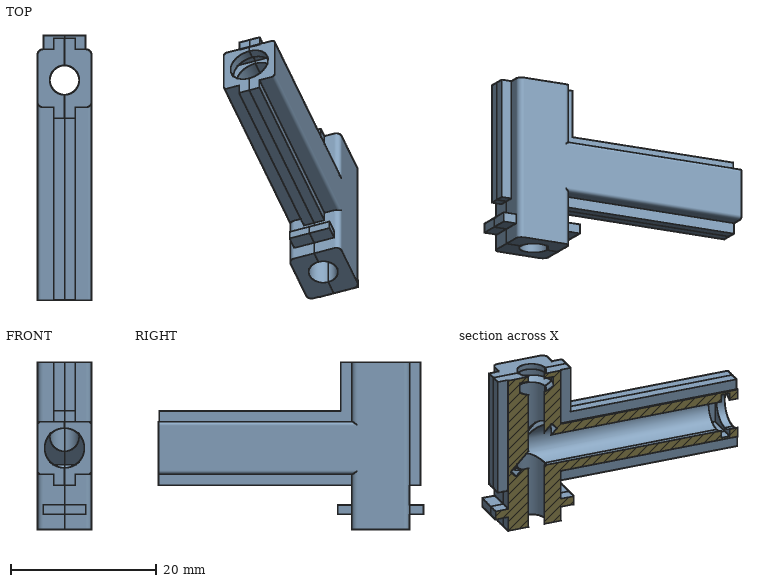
import cadquery as cq
import math


OVERALL_LENGTH = 36.57
WIDTH = 7.5

COLUMN_DEPTH = 8.0
COLUMN_HEIGHT = 23.1
COLUMN_CORNER = 0.8

ARM_HEIGHT = 7.28
ARM_AXIS_Z = 11.25
ARM_CORNER = 0.5

WEB_WIDTH = 3.0
WEB_REACH = 1.5
WEB_END_GAP = 0.1

TAB_LENGTH = 11.85
TAB_WIDTH = 5.85
TAB_HEIGHT = 1.3
TAB_BASE_Z = 2.12

COLUMN_BORE_DIAMETER = 4.02
COLUMN_BORE_Y = -0.25
ARM_BORE_DIAMETER = 5.5

LENS_DIAMETER = 6.0
LENS_RIM = 0.8
LENS_WALL = 1.4
LENS_SPHERE_RADIUS = 4.75

PLATE_SIDE = 6.5
FILTER_RIM = 1.25
FILTER_THICKNESS = 1.25

MIRROR_LENGTH = 8.7
MIRROR_THICKNESS = 1.1
MIRROR_ANGLE = 45.0

ARM_END_Y = TAB_LENGTH / 2 - OVERALL_LENGTH
OVERSIZE = 3 * OVERALL_LENGTH
ARM_TOP_Z = ARM_AXIS_Z + ARM_HEIGHT / 2
ARM_BOTTOM_Z = ARM_AXIS_Z - ARM_HEIGHT / 2


def box_between(x_size, y_range, z_range):
    """Box centred on X = 0 that spans the given Y and Z ranges."""
    y_low, y_high = y_range
    z_low, z_high = z_range
    return (
        cq.Workplane("XY")
        .box(x_size, y_high - y_low, z_high - z_low, centered=(True, False, False))
        .translate((0, y_low, z_low))
    )


def column():
    half = COLUMN_DEPTH / 2
    return box_between(WIDTH, (-half, half), (0, COLUMN_HEIGHT)).edges("|Z").fillet(COLUMN_CORNER)


def arm():
    return box_between(WIDTH, (ARM_END_Y, 0), (ARM_BOTTOM_Z, ARM_TOP_Z)).edges("|Y").fillet(ARM_CORNER)


def web():
    """Flat web that follows the T outline on both sides of the parting plane."""
    rear_y = COLUMN_DEPTH / 2 + WEB_REACH
    bottom_z = ARM_BOTTOM_Z - WEB_REACH
    lower = box_between(WEB_WIDTH, (ARM_END_Y, rear_y), (bottom_z, ARM_AXIS_Z))
    upper = box_between(
        WEB_WIDTH, (ARM_END_Y + WEB_END_GAP, rear_y), (ARM_AXIS_Z, ARM_TOP_Z + WEB_REACH)
    )
    upright = box_between(WEB_WIDTH, (-rear_y, rear_y), (ARM_AXIS_Z, COLUMN_HEIGHT))
    return lower.union(upper).union(upright)


def mounting_bar():
    half = TAB_LENGTH / 2
    return box_between(TAB_WIDTH, (-half, half), (TAB_BASE_Z, TAB_BASE_Z + TAB_HEIGHT))


def column_bore():
    return (
        cq.Workplane("XY").center(0, COLUMN_BORE_Y)
        .circle(COLUMN_BORE_DIAMETER / 2).extrude(COLUMN_HEIGHT)
    )


def tilted_box(width, length, thickness):
    """Box leaning at the mirror angle, its lower face centred on the crossing of the two bores."""
    return (
        cq.Workplane("XY")
        .box(width, length, thickness, centered=(True, True, False))
        .rotate((0, 0, 0), (1, 0, 0), -MIRROR_ANGLE)
        .translate((0, COLUMN_BORE_Y, ARM_AXIS_Z))
    )


def arm_bore():
    """Bore from the arm's end to the sloping lower face of the mirror."""
    bore = (
        cq.Workplane("XZ", origin=(0, ARM_END_Y, ARM_AXIS_Z))
        .circle(ARM_BORE_DIAMETER / 2).extrude(-OVERALL_LENGTH)
    )
    return bore.cut(tilted_box(OVERSIZE, OVERSIZE, OVERSIZE))


def mirror_slot():
    """Slot for the tilted mirror plate."""
    return tilted_box(PLATE_SIDE, MIRROR_LENGTH, MIRROR_THICKNESS)


def filter_pocket():
    """Square pocket across the arm, just behind its open end."""
    front_y = ARM_END_Y + FILTER_RIM
    half = PLATE_SIDE / 2
    return box_between(
        PLATE_SIDE, (front_y, front_y + FILTER_THICKNESS), (ARM_AXIS_Z - half, ARM_AXIS_Z + half)
    )


def lens_seat():
    """Round seat below the column's top, with a dished spherical floor."""
    radius = LENS_DIAMETER / 2
    top_z = COLUMN_HEIGHT - LENS_RIM
    edge_z = top_z - LENS_WALL
    sphere_z = edge_z + math.sqrt(LENS_SPHERE_RADIUS**2 - radius**2)
    half_angle = math.asin(radius / LENS_SPHERE_RADIUS) / 2
    mid_point = (
        LENS_SPHERE_RADIUS * math.sin(half_angle),
        sphere_z - LENS_SPHERE_RADIUS * math.cos(half_angle),
    )
    return (
        cq.Workplane("XZ", origin=(0, COLUMN_BORE_Y, 0))
        .moveTo(0, top_z)
        .lineTo(radius, top_z)
        .lineTo(radius, edge_z)
        .threePointArc(mid_point, (0, sphere_z - LENS_SPHERE_RADIUS))
        .close()
        .revolve(360, (0, 0, 0), (0, 1, 0))
    )


def right_shell():
    """Shell on the +X side, parted on X = 0 and then hollowed out."""
    right_side = cq.Workplane("XY").box(
        OVERSIZE, OVERSIZE, OVERSIZE, centered=(False, True, True)
    )
    shape = column().union(arm()).union(web()).union(mounting_bar()).clean().intersect(right_side)
    for cavity in (column_bore(), arm_bore(), mirror_slot(), filter_pocket(), lens_seat()):
        shape = shape.cut(cavity)
    return shape


def left_shell():
    """Mirror image of the right shell, on the -X side."""
    return right_shell().mirror("YZ")


result = cq.Compound.makeCompound([left_shell().val(), right_shell().val()])